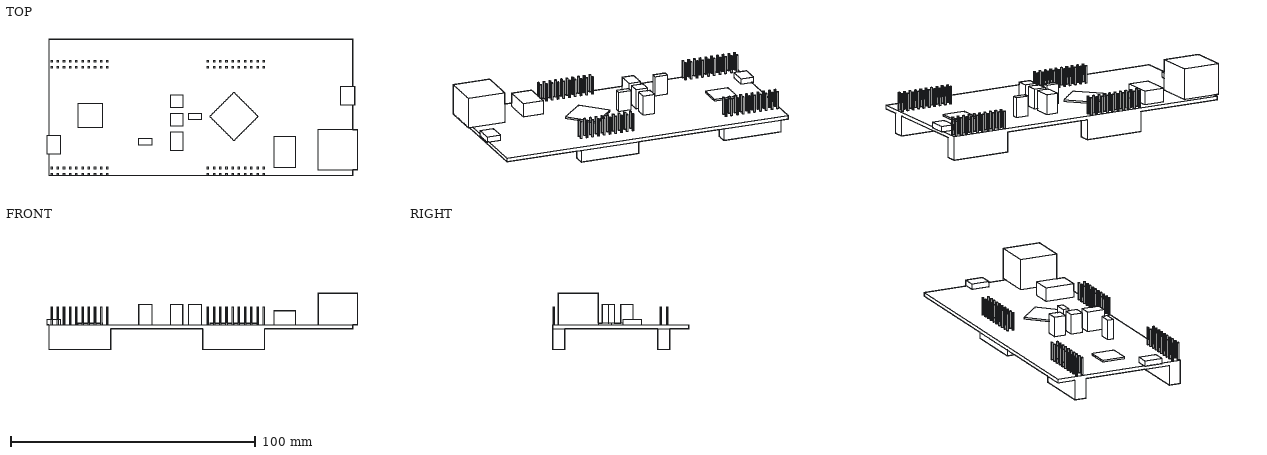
import cadquery as cq

PITCH = 2.54
BOARD_LENGTH = 124.46
BOARD_WIDTH = 55.88
BOARD_THICKNESS = 1.58

PIN_SIDE = 0.64
PIN_HEIGHT = 7.4
PIN_COLUMNS = 10
PIN_ROWS = 2
FIRST_PIN_X = 1.14
FIRST_PIN_Y = 0.56
PIN_GROUP_SPACING_X = 64.0
PIN_GROUP_SPACING_Y = 43.8

GROUP_COLUMNS = 2
GROUP_ROWS = 2

SOCKET_LENGTH = PIN_COLUMNS * PITCH
SOCKET_WIDTH = PIN_ROWS * PITCH
SOCKET_DEPTH = 8.5
SOCKET_SPACING_X = 63.0
SOCKET_SPACING_Y = 43.0

JACK_LENGTH = 16.2
JACK_WIDTH = 16.5
JACK_HEIGHT = 13.0
JACK_OVERHANG = 1.95
JACK_Y = 2.3

BLOCK_LENGTH = 8.9
BLOCK_WIDTH = 12.7
BLOCK_HEIGHT = 5.8
BLOCK_X = 92.1
BLOCK_Y = 3.4

USB_WIDTH = 7.7
USB_HEIGHT = 2.3
LEFT_USB_LENGTH = 5.6
LEFT_USB_OVERHANG = 0.77
LEFT_USB_Y = 8.8
RIGHT_USB_LENGTH = 5.9
RIGHT_USB_OVERHANG = 0.8
RIGHT_USB_Y = 28.8

CHIP_HEIGHT = 0.7
SMALL_CHIP_SIDE = 10.0
SMALL_CHIP_CENTER = (16.9, 24.6)
LARGE_CHIP_SIDE = 14.0
LARGE_CHIP_CENTER = (75.8, 24.2)
LARGE_CHIP_ANGLE = 45

JUMPER_HEIGHT = 8.4
COLUMN_X = 49.8
COLUMN_LENGTH = 2 * PITCH
COLUMN_Y = 10.3
WIDE_JUMPER_WIDTH = 3 * PITCH
SQUARE_JUMPER_WIDTH = 2 * PITCH
LOWER_SQUARE_JUMPER_Y = 20.3
UPPER_SQUARE_JUMPER_Y = LOWER_SQUARE_JUMPER_Y + 3 * PITCH
NARROW_JUMPER_LENGTH = 5.5
NARROW_JUMPER_WIDTH = PITCH
NARROW_JUMPER_CORNERS = [(36.8, 12.6), (57.1, 22.9)]


def block(x, y, z, length, width, height):
    """Box with its lowest corner at (x, y, z)."""
    return cq.Workplane("XY").box(length, width, height, centered=False).translate((x, y, z))


def on_board(x, y, length, width, height):
    """Box standing on the top face of the board."""
    return block(x, y, 0, length, width, height)


def chip(center, side, angle):
    """Flat square chip on the board, turned by an angle about its centre."""
    plate = cq.Workplane("XY").box(side, side, CHIP_HEIGHT, centered=(True, True, False))
    return plate.rotate((0, 0, 0), (0, 0, 1), angle).translate((*center, 0))


def pin_group(group_x, group_y):
    """One header of square pins whose first pin is centred on the given point."""
    points = [
        (group_x + column * PITCH, group_y + row * PITCH)
        for column in range(PIN_COLUMNS)
        for row in range(PIN_ROWS)
    ]
    return cq.Workplane("XY").pushPoints(points).rect(PIN_SIDE, PIN_SIDE).extrude(PIN_HEIGHT)


def jumpers():
    """Column of three jumper blocks and the two narrow ones."""
    boxes = [on_board(COLUMN_X, COLUMN_Y, COLUMN_LENGTH, WIDE_JUMPER_WIDTH, JUMPER_HEIGHT)]
    for y in (LOWER_SQUARE_JUMPER_Y, UPPER_SQUARE_JUMPER_Y):
        boxes.append(on_board(COLUMN_X, y, COLUMN_LENGTH, SQUARE_JUMPER_WIDTH, JUMPER_HEIGHT))
    for x, y in NARROW_JUMPER_CORNERS:
        boxes.append(on_board(x, y, NARROW_JUMPER_LENGTH, NARROW_JUMPER_WIDTH, JUMPER_HEIGHT))
    return boxes


def edge_connectors():
    """Network jack, the low block beside it and the two USB ports."""
    jack_x = BOARD_LENGTH + JACK_OVERHANG - JACK_LENGTH
    right_usb_x = BOARD_LENGTH + RIGHT_USB_OVERHANG - RIGHT_USB_LENGTH
    return [
        on_board(jack_x, JACK_Y, JACK_LENGTH, JACK_WIDTH, JACK_HEIGHT),
        on_board(BLOCK_X, BLOCK_Y, BLOCK_LENGTH, BLOCK_WIDTH, BLOCK_HEIGHT),
        on_board(-LEFT_USB_OVERHANG, LEFT_USB_Y, LEFT_USB_LENGTH, USB_WIDTH, USB_HEIGHT),
        on_board(right_usb_x, RIGHT_USB_Y, RIGHT_USB_LENGTH, USB_WIDTH, USB_HEIGHT),
    ]


def headers():
    """Four pin groups above the board and the four sockets below it."""
    socket_z = -BOARD_THICKNESS - SOCKET_DEPTH
    parts = []
    for column in range(GROUP_COLUMNS):
        for row in range(GROUP_ROWS):
            pin_x = FIRST_PIN_X + column * PIN_GROUP_SPACING_X
            pin_y = FIRST_PIN_Y + row * PIN_GROUP_SPACING_Y
            parts.append(pin_group(pin_x, pin_y))
            socket_x = column * SOCKET_SPACING_X
            socket_y = row * SOCKET_SPACING_Y
            parts.append(block(socket_x, socket_y, socket_z, SOCKET_LENGTH, SOCKET_WIDTH, SOCKET_DEPTH))
    return parts


chips = [
    chip(SMALL_CHIP_CENTER, SMALL_CHIP_SIDE, 0),
    chip(LARGE_CHIP_CENTER, LARGE_CHIP_SIDE, LARGE_CHIP_ANGLE),
]

result = block(0, 0, -BOARD_THICKNESS, BOARD_LENGTH, BOARD_WIDTH, BOARD_THICKNESS)
for component in headers() + edge_connectors() + chips + jumpers():
    result = result.union(component)